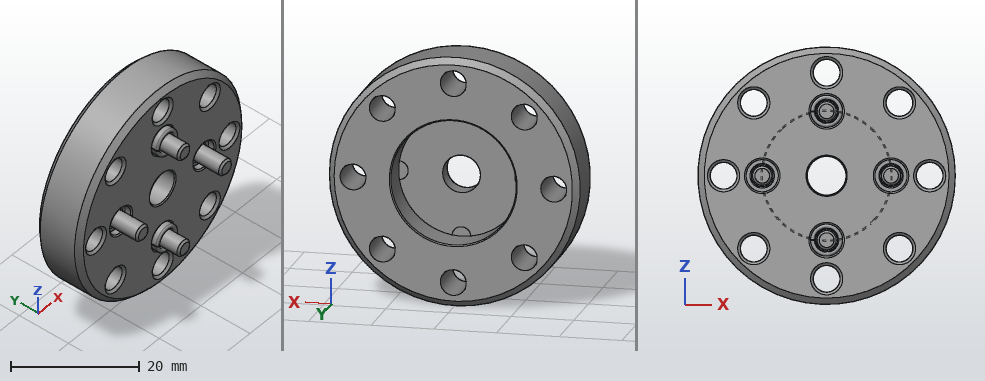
import cadquery as cq
import math

DISC_DIAMETER = 40.0
DISC_THICKNESS = 9.0
DISC_CHAMFER = 1.0

POCKET_DIAMETER = 20.0
POCKET_CHAMFER = 0.2
WEB_THICKNESS = 3.4

CENTER_DIAMETER = 6.0
CENTER_CHAMFER = 0.2

MOUNT_COUNT = 8
MOUNT_CIRCLE_RADIUS = 16.0
MOUNT_DIAMETER = 4.1
MOUNT_MOUTH_DIAMETER = 5.0
MOUNT_MOUTH_DEPTH = (MOUNT_MOUTH_DIAMETER - MOUNT_DIAMETER) / 2

PIN_COUNT = 4
PIN_CIRCLE_RADIUS = 10.0
RECESS_DIAMETER = 5.0
RECESS_MOUTH_DIAMETER = 5.5
RECESS_MOUTH_DEPTH = 0.2
RECESS_DEPTH = 1.3
CLEARANCE_DIAMETER = 3.4
CLEARANCE_CHAMFER = 0.2
CLEARANCE_END_DEPTH = 2.4

PIN_DIAMETER = 3.0
PIN_PROTRUSION = 4.5
PIN_TIP_CHAMFER = 0.35
PIN_SEAT_DEPTH = WEB_THICKNESS

SLEEVE_BORE_DIAMETER = 3.6
SLEEVE_PROTRUSION = 1.1
SLEEVE_SLOT_WIDTH = 0.15


def ring_points(count, radius):
    """(x, z) positions equally spaced on a circle, starting on +X."""
    angles = [2 * math.pi * i / count for i in range(count)]
    return [(radius * math.cos(a), radius * math.sin(a)) for a in angles]


def cylinder(x, z, diameter, front, back):
    """Cylinder along Y from Y = front to Y = back."""
    base = cq.Workplane(cq.Plane(origin=(x, front, z), xDir=(1, 0, 0), normal=(0, 1, 0)))
    return base.circle(diameter / 2).extrude(back - front)


def countersink(x, z, mouth_diameter, hole_diameter, y, depth):
    """Cone with its mouth at Y = y, narrowing over a depth that is positive toward the back (+Y)."""
    direction = cq.Vector(0, math.copysign(1, depth), 0)
    cone = cq.Solid.makeCone(mouth_diameter / 2, hole_diameter / 2, abs(depth), cq.Vector(x, y, z), direction)
    return cq.Workplane(cone)


def make_disc():
    disc = cylinder(0, 0, DISC_DIAMETER, 0, DISC_THICKNESS).edges().chamfer(DISC_CHAMFER)
    disc = cut_pocket(disc)
    disc = cut_center_hole(disc)
    for x, z in ring_points(MOUNT_COUNT, MOUNT_CIRCLE_RADIUS):
        disc = cut_mount_hole(disc, x, z)
    for x, z in ring_points(PIN_COUNT, PIN_CIRCLE_RADIUS):
        disc = cut_pin_hole(disc, x, z)
    return disc


def cut_pocket(disc):
    """Round pocket open at the back face, with a chamfered mouth."""
    pocket = cylinder(0, 0, POCKET_DIAMETER, WEB_THICKNESS, DISC_THICKNESS)
    mouth_diameter = POCKET_DIAMETER + 2 * POCKET_CHAMFER
    mouth = countersink(0, 0, mouth_diameter, POCKET_DIAMETER, DISC_THICKNESS, -POCKET_CHAMFER)
    return disc.cut(pocket).cut(mouth)


def cut_center_hole(disc):
    mouth_diameter = CENTER_DIAMETER + 2 * CENTER_CHAMFER
    disc = disc.cut(cylinder(0, 0, CENTER_DIAMETER, 0, WEB_THICKNESS))
    return disc.cut(countersink(0, 0, mouth_diameter, CENTER_DIAMETER, 0, CENTER_CHAMFER))


def cut_mount_hole(disc, x, z):
    disc = disc.cut(cylinder(x, z, MOUNT_DIAMETER, 0, DISC_THICKNESS))
    return disc.cut(countersink(x, z, MOUNT_MOUTH_DIAMETER, MOUNT_DIAMETER, 0, MOUNT_MOUTH_DEPTH))


def cut_pin_hole(disc, x, z):
    """Chamfered recess, then a clearance bore, then a seat that fits the pin down to the pocket floor."""
    step_mouth_diameter = CLEARANCE_DIAMETER + 2 * CLEARANCE_CHAMFER
    disc = disc.cut(countersink(x, z, RECESS_MOUTH_DIAMETER, RECESS_DIAMETER, 0, RECESS_MOUTH_DEPTH))
    disc = disc.cut(cylinder(x, z, RECESS_DIAMETER, 0, RECESS_DEPTH))
    step_chamfer = countersink(
        x, z, step_mouth_diameter, CLEARANCE_DIAMETER, RECESS_DEPTH, CLEARANCE_CHAMFER
    )
    disc = disc.cut(step_chamfer)
    disc = disc.cut(cylinder(x, z, CLEARANCE_DIAMETER, RECESS_DEPTH, CLEARANCE_END_DEPTH))
    return disc.cut(cylinder(x, z, PIN_DIAMETER, CLEARANCE_END_DEPTH, PIN_SEAT_DEPTH))


def make_pin(x, z):
    pin = cylinder(x, z, PIN_DIAMETER, -PIN_PROTRUSION, PIN_SEAT_DEPTH)
    return pin.faces("<Y").edges().chamfer(PIN_TIP_CHAMFER)


def make_sleeve(x, z):
    """Tube with a fully rounded front rim, split by a narrow slot on its -X side."""
    inner_radius = SLEEVE_BORE_DIAMETER / 2
    outer_radius = RECESS_DIAMETER / 2
    rim_radius = (outer_radius - inner_radius) / 2
    rim_start = -SLEEVE_PROTRUSION + rim_radius
    profile = (
        cq.Workplane("XY")
        .moveTo(-inner_radius, RECESS_DEPTH)
        .lineTo(-inner_radius, rim_start)
        .threePointArc((-inner_radius - rim_radius, -SLEEVE_PROTRUSION), (-outer_radius, rim_start))
        .lineTo(-outer_radius, RECESS_DEPTH)
        .close()
    )
    sleeve = profile.revolve(360, (0, 0, 0), (0, 1, 0)).translate((x, 0, z))
    slot = cq.Workplane("XY").box(
        RECESS_DIAMETER / 2,
        SLEEVE_PROTRUSION + RECESS_DEPTH,
        SLEEVE_SLOT_WIDTH,
        centered=(False, False, True),
    )
    return sleeve.cut(slot.translate((x - RECESS_DIAMETER / 2, -SLEEVE_PROTRUSION, z)))


disc = make_disc()
pins = [make_pin(x, z) for x, z in ring_points(PIN_COUNT, PIN_CIRCLE_RADIUS)]
sleeves = [make_sleeve(0, z) for z in (PIN_CIRCLE_RADIUS, -PIN_CIRCLE_RADIUS)]

result = cq.Compound.makeCompound(
    [disc.val(), *[pin.val() for pin in pins], *[sleeve.val() for sleeve in sleeves]]
)